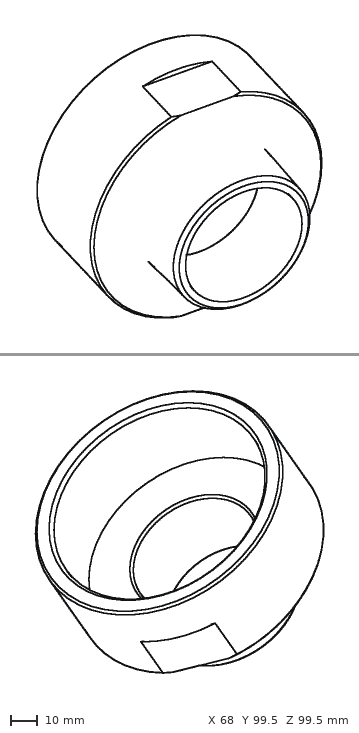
import cadquery as cq
import math

body_diameter = 99.5
body_length = 41.2
body_chamfer = 1.0

total_length = 68.0
spigot_diameter = 60.1
spigot_straight_length = 3.3
spigot_end_diameter = 58.7
spigot_chamfer = 1.6
spigot_root_fillet = 0.25

socket_diameter = 85.0
socket_depth = 34.8
socket_chamfer = 1.4
bore_diameter = 50.0
bore_chamfer = 1.0

flat_start = 19.1
flat_depth = 2.3


def outer_shape():
    """Revolved body and spigot, still without passage or flats."""
    body_radius = body_diameter / 2
    spigot_radius = spigot_diameter / 2
    spigot_end_radius = spigot_end_diameter / 2
    fillet_center_x = body_length + spigot_root_fillet
    fillet_center_r = spigot_radius + spigot_root_fillet
    fillet_middle = (
        fillet_center_x - spigot_root_fillet * math.sqrt(0.5),
        fillet_center_r - spigot_root_fillet * math.sqrt(0.5),
    )
    return (
        cq.Workplane("XY")
        .lineTo(0, body_radius - body_chamfer)
        .lineTo(body_chamfer, body_radius)
        .lineTo(body_length - body_chamfer, body_radius)
        .lineTo(body_length, body_radius - body_chamfer)
        .lineTo(body_length, fillet_center_r)
        .threePointArc(fillet_middle, (fillet_center_x, spigot_radius))
        .lineTo(body_length + spigot_straight_length, spigot_radius)
        .lineTo(total_length - spigot_chamfer, spigot_end_radius)
        .lineTo(total_length, spigot_end_radius - spigot_chamfer)
        .lineTo(total_length, 0)
        .close()
        .revolve(360, (0, 0), (1, 0))
    )


def passage():
    """Revolved cutter for the socket and bore, each with a chamfered mouth."""
    socket_radius = socket_diameter / 2
    bore_radius = bore_diameter / 2
    outline = [
        (0, 0),
        (0, socket_radius + socket_chamfer),
        (socket_chamfer, socket_radius),
        (socket_depth, socket_radius),
        (socket_depth, bore_radius + bore_chamfer),
        (socket_depth + bore_chamfer, bore_radius),
        (total_length, bore_radius),
        (total_length, 0),
    ]
    return cq.Workplane("XY").polyline(outline).close().revolve(360, (0, 0), (1, 0))


def flat_cutter(side):
    """Block that planes one flat; side is +1 for the top, -1 for the bottom."""
    flat_length = body_length - flat_start
    center_x = flat_start + flat_length / 2
    center_z = side * (body_diameter - flat_depth) / 2
    block = cq.Workplane("XY").box(flat_length, body_diameter, flat_depth)
    return block.translate((center_x, 0, center_z))


result = outer_shape().cut(passage())
for side in (1, -1):
    result = result.cut(flat_cutter(side))